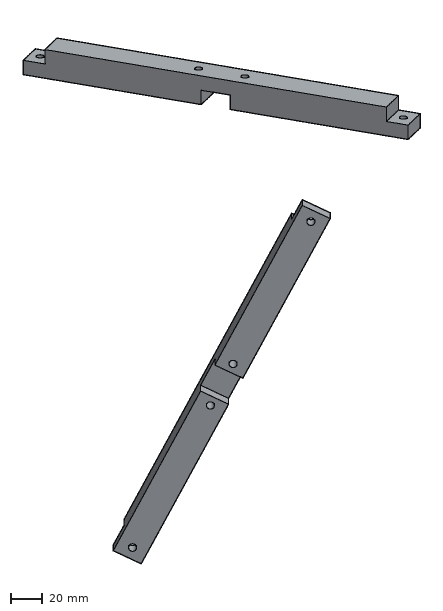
import cadquery as cq
import math

span = 203.0
bar_width = 20.0
bar_height = 20.0
lap_height = bar_height / 2
end_lap_length = 15.0
hole_diameter = 5.0
inner_hole_offset = 16.0
bar_angle = 45

bar_length = span * math.sqrt(2) - bar_width
end_hole_offset = bar_length / 2 - end_lap_length / 2

bar = cq.Workplane("XY").box(bar_length, bar_width, bar_height, centered=(True, True, False))

end_laps = (
    cq.Workplane("XY")
    .workplane(offset=lap_height)
    .pushPoints([(side * end_hole_offset, 0) for side in (-1, 1)])
    .rect(end_lap_length, bar_width)
    .extrude(bar_height - lap_height)
)

cross_lap = cq.Workplane("XY").rect(bar_width, bar_width).extrude(lap_height)

hole_points = [
    (side * offset, 0)
    for side in (-1, 1)
    for offset in (inner_hole_offset, end_hole_offset)
]
holes = cq.Workplane("XY").pushPoints(hole_points).circle(hole_diameter / 2).extrude(bar_height)

result = (
    bar.cut(end_laps)
    .cut(cross_lap)
    .cut(holes)
    .rotate((0, 0, 0), (0, 0, 1), bar_angle)
)